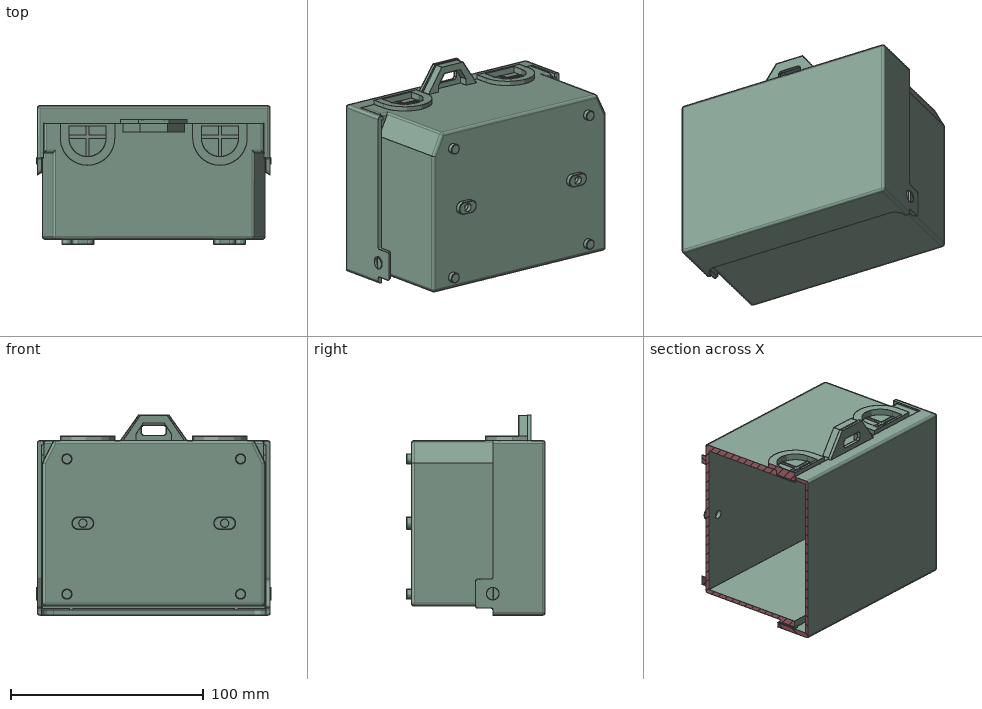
import cadquery as cq

WIDTH = 121.7
DEPTH = 71.9
HEIGHT = 103.9
MARGIN = 0.1

LID_HALF_WIDTH = 60.3
LID_DEPTH = 27.1
BODY_TOP = 90.5
LID_WALL = 2.2
LID_FLOOR = 2.7
LID_EDGE = 1.5
LID_BACK_EDGE = 1.3
LID_INNER = LID_HALF_WIDTH - LID_WALL
NOTCH_HALF_WIDTH = 57.2
NOTCH_BACK = 9.1
BOTTOM_CUT_BACK = 20.7
BOTTOM_CUT_RADIUS = 6.3
STRIP_HEIGHT = 5.2

EAR_BOTTOM = 3.7
EAR_TOP = 18.7
EAR_END = 36.0
EAR_BEVEL = 1.5
EAR_CORNER = 1.1
EAR_ROOT = 0.9
PIN_DIAMETER = 6.5
PIN_Z = 11.2
PIN_Y = -LID_DEPTH
RAMP_START = 60.0
RAMP_END = 58.6
RAMP_OFFSET = 0.4

HANDLE_BACK = 7.3
HANDLE_PLATE = 1.8
HANDLE_FRONT = 13.7
PLATE_HALF_BASE = 17.3
PLATE_HALF_TOP = 7.8
RIB_HALF_BASE = 15.9
RIB_HALF_TOP = 7.0
RIB_SET_DOWN = 0.4
RIB_TOP = HEIGHT - RIB_SET_DOWN
ARCH_HALF_BASE = 9.1
ARCH_HALF_TOP = 5.4
ARCH_SHOULDER = 93.9
ARCH_TOP = 99.8
SLOT_HALF_WIDTH = 6.5
SLOT_BOTTOM = 93.2
SLOT_TOP = 98.4
SLOT_CHAMFER = 1.1

BOX_HALF_WIDTH = 57.7
BOX_BOTTOM = 4.7
BOX_FRONT = 69.4
BOX_BACK = NOTCH_BACK
BOX_WALL = 2.4
BOX_EDGE = 1.6
NECK_HALF_WIDTH = 57.0
NECK_FRONT = 24.6
TOP_EDGE = 1.5
CORNER_WIDTH = 5.8
CORNER_HEIGHT = 11.5
FLANGE_BOTTOM = 3.4
FLANGE_FRONT = 19.5
STOP_X = 42.7
STOP_WIDTH = 2.0

ENTRY_X = 34.3
ENTRY_RADIUS = 14.1
ENTRY_HEIGHT = 2.3
ENTRY_CENTRE_Y = -16.8
WINDOW_RADIUS = 9.6
WINDOW_BACK = 10.5
MEMBRANE_DROP = 1.0
WINDOW_FLOOR = BODY_TOP - MEMBRANE_DROP
PLUG_RIM = 1.2
BAR_WIDTH = 1.7
BAR_HEIGHT = 0.2
BAR_Y = -16.0

FOOT_X = 45.0
FOOT_Z = (11.0, 81.0)
FOOT_DIAMETER = 5.2
FOOT_HEIGHT = DEPTH - BOX_FRONT
FOOT_CHAMFER = 0.2
PAD_X = 36.7
PAD_Z = 47.7
PAD_LENGTH = 11.3
PAD_HEIGHT = 6.5
SCREW_HOLE = 4.3


def block(half_width, y_front, y_back, z_low, z_high):
    """Box symmetric about X = 0; the front and back are distances ahead of Y = 0."""
    return (
        cq.Workplane("XY")
        .box(2 * half_width, y_front - y_back, z_high - z_low, centered=(True, False, False))
        .translate((0, -y_front, z_low))
    )


def front_profile(points, y_back, thickness):
    """Extrude an X-Z outline forward (toward -Y) from y_back."""
    return cq.Workplane("XZ", origin=(0, -y_back, 0)).polyline(points).close().extrude(thickness)


def both_sides(shape):
    return shape.union(shape.mirror("YZ"))


def lid_tray():
    tray = block(LID_HALF_WIDTH, LID_DEPTH, 0, 0, BODY_TOP)
    tray = tray.edges("|Y").fillet(LID_EDGE).faces(">Y").edges().fillet(LID_BACK_EDGE)
    cavity = block(LID_INNER, LID_DEPTH, LID_WALL, LID_FLOOR, BODY_TOP - LID_WALL)
    notch = block(NOTCH_HALF_WIDTH, LID_DEPTH, NOTCH_BACK, BODY_TOP - 2 * LID_WALL, BODY_TOP)
    bottom_cut = block(LID_INNER, LID_DEPTH + 2 * BOTTOM_CUT_RADIUS, BOTTOM_CUT_BACK, 0, LID_FLOOR)
    bottom_cut = bottom_cut.edges("|Z and >Y").fillet(BOTTOM_CUT_RADIUS)
    return tray.cut(cavity).cut(notch).cut(bottom_cut)


def guide_strip():
    width = LID_INNER - NECK_HALF_WIDTH
    strip = cq.Workplane("XY").box(width, NECK_FRONT - LID_WALL, STRIP_HEIGHT, centered=False)
    return strip.translate((NECK_HALF_WIDTH, -NECK_FRONT, BODY_TOP - LID_WALL - STRIP_HEIGHT))


def hinge_ear():
    ear = (
        cq.Workplane("XY", origin=(0, 0, EAR_BOTTOM))
        .polyline([
            (LID_HALF_WIDTH, -LID_DEPTH),
            (LID_HALF_WIDTH, -EAR_END),
            (LID_INNER, -EAR_END + EAR_BEVEL),
            (LID_INNER, -LID_DEPTH),
        ])
        .close()
        .extrude(EAR_TOP - EAR_BOTTOM)
    )
    corner_edges = cq.selectors.BoxSelector(
        (LID_INNER - MARGIN, -EAR_END - MARGIN, EAR_BOTTOM - MARGIN),
        (LID_HALF_WIDTH + MARGIN, -EAR_END + EAR_BEVEL, EAR_TOP + MARGIN),
    )
    return ear.edges(corner_edges).edges("not |Z").edges("not |Y").fillet(EAR_CORNER)


def round_ear_roots(lid):
    """Fillet the inside corners above and below both ears."""
    for z in (EAR_BOTTOM, EAR_TOP):
        roots = cq.selectors.BoxSelector(
            (-WIDTH, -LID_DEPTH - MARGIN, z - MARGIN),
            (WIDTH, -LID_DEPTH + MARGIN, z + MARGIN),
        )
        lid = lid.edges("|X").edges(roots).fillet(EAR_ROOT)
    return lid


def pin_axis_cylinder(x_start, x_end):
    return (
        cq.Workplane("YZ", origin=(x_start, PIN_Y, PIN_Z))
        .circle(PIN_DIAMETER / 2)
        .extrude(x_end - x_start)
    )


def handle():
    plate = front_profile(
        [
            (-PLATE_HALF_BASE, BODY_TOP),
            (PLATE_HALF_BASE, BODY_TOP),
            (PLATE_HALF_TOP, HEIGHT),
            (-PLATE_HALF_TOP, HEIGHT),
        ],
        HANDLE_BACK,
        HANDLE_PLATE,
    )
    slot = block(SLOT_HALF_WIDTH, HANDLE_FRONT, 0, SLOT_BOTTOM, SLOT_TOP).edges("|Y").chamfer(SLOT_CHAMFER)
    rib_back = HANDLE_BACK + HANDLE_PLATE
    rib = front_profile(
        [
            (-RIB_HALF_BASE, BODY_TOP),
            (-ARCH_HALF_BASE, BODY_TOP),
            (-ARCH_HALF_BASE, ARCH_SHOULDER),
            (-ARCH_HALF_TOP, ARCH_TOP),
            (ARCH_HALF_TOP, ARCH_TOP),
            (ARCH_HALF_BASE, ARCH_SHOULDER),
            (ARCH_HALF_BASE, BODY_TOP),
            (RIB_HALF_BASE, BODY_TOP),
            (RIB_HALF_TOP, RIB_TOP),
            (-RIB_HALF_TOP, RIB_TOP),
        ],
        rib_back,
        HANDLE_FRONT - rib_back,
    )
    return plate.cut(slot).union(rib)


def make_lid():
    lid = lid_tray().union(both_sides(guide_strip())).union(both_sides(hinge_ear()))
    pin_holes = both_sides(pin_axis_cylinder(LID_INNER, LID_HALF_WIDTH))
    return round_ear_roots(lid).cut(pin_holes).union(handle())


def corner_cutter():
    """Prism that slopes the upper right corner in front of the neck."""
    past = 2.4
    slope = CORNER_HEIGHT / CORNER_WIDTH
    low = (BOX_HALF_WIDTH + past, BODY_TOP - CORNER_HEIGHT - past * slope)
    high = (BOX_HALF_WIDTH - CORNER_WIDTH - past, BODY_TOP + past * slope)
    outer = (BOX_HALF_WIDTH + past, BODY_TOP + past * slope)
    return front_profile([low, high, outer], NECK_FRONT, BOX_FRONT - NECK_FRONT)


def box_outside():
    outside = block(BOX_HALF_WIDTH, BOX_FRONT, BOX_BACK, BOX_BOTTOM, BODY_TOP)
    neck_sleeve = block(LID_HALF_WIDTH, NECK_FRONT, BOX_BACK, BOX_BOTTOM, BODY_TOP)
    neck_sleeve = neck_sleeve.cut(block(NECK_HALF_WIDTH, NECK_FRONT, BOX_BACK, BOX_BOTTOM, BODY_TOP))
    outside = outside.cut(neck_sleeve).cut(both_sides(corner_cutter()))
    outside = outside.faces("<Z").edges("|Y").edges("<X or >X").fillet(BOX_EDGE)
    outside = outside.faces(">Z").edges("not >Y").edges("not <Y").fillet(TOP_EDGE)
    return outside.faces("<Y").edges().fillet(BOX_EDGE)


def box_cavity():
    """Open-backed hollow, kept clear of the sloping corners."""
    half_width = NECK_HALF_WIDTH - BOX_WALL
    cavity = block(half_width, BOX_FRONT - BOX_WALL, BOX_BACK, BOX_BOTTOM + BOX_WALL, BODY_TOP - BOX_WALL)
    corner_size = max(CORNER_WIDTH, CORNER_HEIGHT)
    return cavity.faces(">Z").edges("|Y").chamfer(corner_size)


def box_flange():
    flange = block(BOX_HALF_WIDTH, FLANGE_FRONT, BOX_BACK, FLANGE_BOTTOM, BOX_BOTTOM)
    stop = block(STOP_WIDTH / 2, FLANGE_FRONT, BOX_BACK, LID_FLOOR, FLANGE_BOTTOM)
    return flange.union(both_sides(stop.translate((STOP_X, 0, 0))))


def hinge_pin():
    """Round pin whose rear half slopes inward so that the lid ear can snap over it."""
    pin = pin_axis_cylinder(NECK_HALF_WIDTH - BOX_WALL, WIDTH / 2)
    pin_back = PIN_Y + PIN_DIAMETER / 2
    ramp_cutter = (
        cq.Workplane("XY", origin=(0, 0, PIN_Z - PIN_DIAMETER / 2))
        .polyline([
            (WIDTH / 2, PIN_Y),
            (RAMP_START, PIN_Y + RAMP_OFFSET),
            (RAMP_END, pin_back),
            (WIDTH / 2, pin_back),
        ])
        .close()
        .extrude(PIN_DIAMETER)
    )
    return pin.cut(ramp_cutter)


def make_box():
    box = box_outside().cut(box_cavity()).union(box_flange()).union(both_sides(hinge_pin()))
    for side in (-1, 1):
        box = box.cut(pad_hole(side)).cut(entry_plug().translate((side * ENTRY_X, 0, 0)))
    return box


def rounded_entry(radius, y_back, z_low, height):
    """D-shaped plate: straight back, straight sides and a half-round front."""
    return (
        cq.Workplane("XY", origin=(0, 0, z_low))
        .moveTo(-radius, -y_back)
        .lineTo(-radius, ENTRY_CENTRE_Y)
        .threePointArc((0, ENTRY_CENTRE_Y - radius), (radius, ENTRY_CENTRE_Y))
        .lineTo(radius, -y_back)
        .close()
        .extrude(height)
    )


def entry_plug():
    return rounded_entry(WINDOW_RADIUS + PLUG_RIM, NOTCH_BACK, BODY_TOP - BOX_WALL, BOX_WALL)


def make_cable_entry(side):
    """Flange on top of the box with a windowed plug in a slot open to the rear rim of the box."""
    flange = rounded_entry(ENTRY_RADIUS, NOTCH_BACK, BODY_TOP, ENTRY_HEIGHT)
    entry = flange.union(entry_plug())
    window = rounded_entry(WINDOW_RADIUS, WINDOW_BACK, WINDOW_FLOOR, BODY_TOP + ENTRY_HEIGHT - WINDOW_FLOOR)
    bar_length = 2 * ENTRY_RADIUS
    long_bar = cq.Workplane("XY").box(BAR_WIDTH, bar_length, BAR_HEIGHT, centered=(True, True, False))
    cross_bar = cq.Workplane("XY").box(bar_length, BAR_WIDTH, BAR_HEIGHT, centered=(True, True, False))
    bars = long_bar.union(cross_bar).translate((0, BAR_Y, WINDOW_FLOOR))
    return entry.cut(window.cut(bars)).translate((side * ENTRY_X, 0, 0))


def front_plane(x, z):
    return cq.Workplane("XZ", origin=(x, -BOX_FRONT, z))


def make_foot(side, z):
    foot = front_plane(side * FOOT_X, z).circle(FOOT_DIAMETER / 2).extrude(FOOT_HEIGHT)
    return foot.faces("<Y").chamfer(FOOT_CHAMFER)


def pad_hole(side):
    """Screw hole through a mounting pad and the box wall behind it."""
    return front_plane(side * PAD_X, PAD_Z).circle(SCREW_HOLE / 2).extrude(FOOT_HEIGHT + BOX_WALL, both=True)


def make_pad(side):
    pad = front_plane(side * PAD_X, PAD_Z).slot2D(PAD_LENGTH, PAD_HEIGHT).extrude(FOOT_HEIGHT)
    return pad.faces("<Y").chamfer(FOOT_CHAMFER).cut(pad_hole(side))


box = make_box()
lid = make_lid()
bodies = [box.solids().val(), lid.solids().val()]
for side in (-1, 1):
    bodies.append(make_cable_entry(side).solids().val())
    bodies.append(make_pad(side).solids().val())
    for foot_z in FOOT_Z:
        bodies.append(make_foot(side, foot_z).solids().val())

result = cq.Compound.makeCompound(bodies)